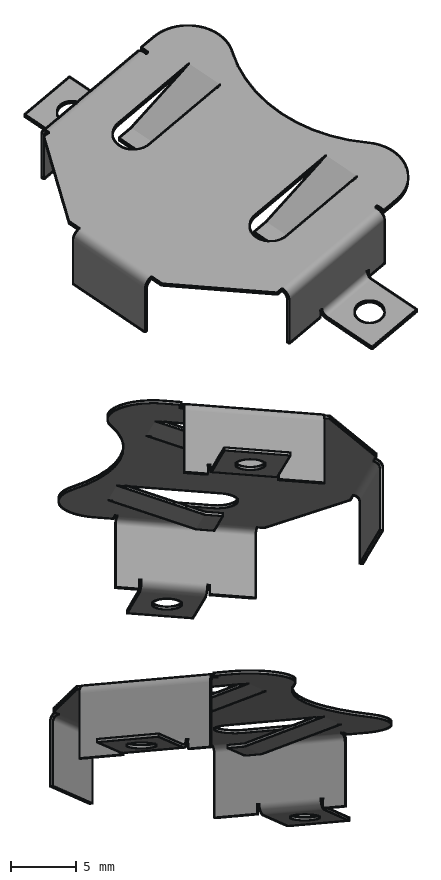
import cadquery as cq
import math

THICKNESS = 0.25
INNER_RADIUS = 0.5
OUTER_RADIUS = INNER_RADIUS + THICKNESS
RELIEF_WIDTH = 0.2
DIAGONAL = math.sqrt(0.5)

LENGTH_X = 35.6
LENGTH_Y = 22.59
HEIGHT = 5.8
PLATE_BOTTOM = HEIGHT - THICKNESS

WALL_OUTER_X = 12.7
WALL_BACK_Y = 4.6
WALL_LENGTH = 10.95
WALL_BEND_X = WALL_OUTER_X - OUTER_RADIUS

TAB_WIDTH = 5.15
TAB_HOLE_DIAMETER = 2.3
TAB_HOLE_X = 15.25

LOBE_RADIUS = 3.5
LOBE_OUTER_X = 12.45
LOBE_X = LOBE_OUTER_X - LOBE_RADIUS
LOBE_TOP_Y = 9.75
LOBE_Y = LOBE_TOP_Y - LOBE_RADIUS
CUTOUT_RADIUS = 12.1
LOBE_RELIEF_END_X = WALL_BEND_X - RELIEF_WIDTH

FLANGE_WIDTH = 7.4
FLANGE_OUTER_Y = LOBE_TOP_Y - LENGTH_Y
PLATE_FRONT_Y = FLANGE_OUTER_Y + OUTER_RADIUS
FRONT_EDGE_HALF = 4.75
CORNER_SIDE_Y = -6.9

SLOT_X = 7.02
SLOT_WIDTH = 3.2
SLOT_BACK_Y = 6.0
SLOT_FRONT_Y = -3.75
TONGUE_SLOPE = math.tan(math.radians(15))
TONGUE_FOOT = 1.4
LEFT_TONGUE_RUN = 6.65
RIGHT_TONGUE_RUN = 6.87


def both_sides(body):
    """Join a body with its mirror image across the symmetry plane."""
    return body.union(body.mirror("YZ"))


def make_plate():
    """Flat top plate with rear lobes, finger cutout and slanted front corners."""
    cutout_y = LOBE_Y + math.sqrt((CUTOUT_RADIUS + LOBE_RADIUS) ** 2 - LOBE_X ** 2)
    share = LOBE_RADIUS / (LOBE_RADIUS + CUTOUT_RADIUS)
    tangent_x = LOBE_X * (1 - share)
    tangent_y = LOBE_Y + (cutout_y - LOBE_Y) * share
    outline = (
        cq.Workplane("XY", origin=(0, 0, PLATE_BOTTOM))
        .moveTo(-FRONT_EDGE_HALF, PLATE_FRONT_Y)
        .lineTo(FRONT_EDGE_HALF, PLATE_FRONT_Y)
        .lineTo(WALL_BEND_X, CORNER_SIDE_Y)
        .lineTo(WALL_BEND_X, WALL_BACK_Y)
        .lineTo(LOBE_RELIEF_END_X, WALL_BACK_Y)
        .lineTo(LOBE_RELIEF_END_X, WALL_BACK_Y + RELIEF_WIDTH)
        .lineTo(LOBE_OUTER_X, WALL_BACK_Y + RELIEF_WIDTH)
        .lineTo(LOBE_OUTER_X, LOBE_Y)
        .threePointArc((LOBE_X, LOBE_TOP_Y), (tangent_x, tangent_y))
        .threePointArc((0, cutout_y - CUTOUT_RADIUS), (-tangent_x, tangent_y))
        .threePointArc((-LOBE_X, LOBE_TOP_Y), (-LOBE_OUTER_X, LOBE_Y))
        .lineTo(-LOBE_OUTER_X, WALL_BACK_Y + RELIEF_WIDTH)
        .lineTo(-LOBE_RELIEF_END_X, WALL_BACK_Y + RELIEF_WIDTH)
        .lineTo(-LOBE_RELIEF_END_X, WALL_BACK_Y)
        .lineTo(-WALL_BEND_X, WALL_BACK_Y)
        .lineTo(-WALL_BEND_X, CORNER_SIDE_Y)
        .close()
    )
    return outline.extrude(THICKNESS)


def cut_slot(plate, center_x):
    """Slot around one tongue: square at the back, fully rounded at the front."""
    half = SLOT_WIDTH / 2
    slot = (
        cq.Workplane("XY", origin=(center_x, 0, PLATE_BOTTOM))
        .moveTo(-half, SLOT_BACK_Y)
        .lineTo(-half, SLOT_FRONT_Y + half)
        .threePointArc((0, SLOT_FRONT_Y), (half, SLOT_FRONT_Y + half))
        .lineTo(half, SLOT_BACK_Y)
        .close()
        .extrude(THICKNESS)
    )
    return plate.cut(slot)


def make_tongue(center_x, run):
    """Tongue sloping down from the back of its slot to a level foot."""
    bend_y = SLOT_BACK_Y - run
    foot_y = bend_y - TONGUE_FOOT
    drop = run * TONGUE_SLOPE
    return (
        cq.Workplane("YZ", origin=(center_x, 0, 0))
        .moveTo(SLOT_BACK_Y, HEIGHT)
        .lineTo(bend_y, HEIGHT - drop)
        .lineTo(foot_y, HEIGHT - drop)
        .lineTo(foot_y, PLATE_BOTTOM - drop)
        .lineTo(bend_y, PLATE_BOTTOM - drop)
        .lineTo(SLOT_BACK_Y, PLATE_BOTTOM)
        .close()
        .extrude(SLOT_WIDTH / 2, both=True)
    )


def bent_down_profile(plane, outer, direction):
    """Section of a sheet leaving the plate edge, bending down and reaching the base.

    outer is the position of the outer face; direction is +1 or -1, the way it faces.
    """
    inner = outer - direction * THICKNESS
    bend_start = outer - direction * OUTER_RADIUS
    bend_z = HEIGHT - OUTER_RADIUS
    outer_mid = (bend_start + direction * OUTER_RADIUS * DIAGONAL, bend_z + OUTER_RADIUS * DIAGONAL)
    inner_mid = (bend_start + direction * INNER_RADIUS * DIAGONAL, bend_z + INNER_RADIUS * DIAGONAL)
    return (
        plane.moveTo(bend_start, HEIGHT)
        .threePointArc(outer_mid, (outer, bend_z))
        .lineTo(outer, 0)
        .lineTo(inner, 0)
        .lineTo(inner, bend_z)
        .threePointArc(inner_mid, (bend_start, PLATE_BOTTOM))
        .close()
    )


def make_wall():
    """Right side wall with an opening in its lower edge for the solder tab."""
    plane = cq.Workplane("XZ", origin=(0, WALL_BACK_Y, 0))
    wall = bent_down_profile(plane, WALL_OUTER_X, 1).extrude(WALL_LENGTH)
    opening = cq.Workplane("XY").box(
        2 * WALL_OUTER_X, TAB_WIDTH + 2 * RELIEF_WIDTH, OUTER_RADIUS, centered=(True, True, False)
    )
    return wall.cut(opening)


def make_tab():
    """Right solder tab, bent outward from the wall and drilled."""
    end_x = LENGTH_X / 2
    wall_inner_x = WALL_OUTER_X - THICKNESS
    bend_x = WALL_OUTER_X + INNER_RADIUS
    outer_mid = (bend_x - OUTER_RADIUS * DIAGONAL, OUTER_RADIUS * (1 - DIAGONAL))
    inner_mid = (bend_x - INNER_RADIUS * DIAGONAL, OUTER_RADIUS - INNER_RADIUS * DIAGONAL)
    tab = (
        cq.Workplane("XZ")
        .moveTo(wall_inner_x, OUTER_RADIUS)
        .threePointArc(outer_mid, (bend_x, 0))
        .lineTo(end_x, 0)
        .lineTo(end_x, THICKNESS)
        .lineTo(bend_x, THICKNESS)
        .threePointArc(inner_mid, (WALL_OUTER_X, OUTER_RADIUS))
        .close()
        .extrude(TAB_WIDTH / 2, both=True)
    )
    hole = cq.Workplane("XY").center(TAB_HOLE_X, 0).circle(TAB_HOLE_DIAMETER / 2).extrude(THICKNESS)
    return tab.cut(hole)


def make_flange():
    """Front flange, bent down from the front edge of the plate."""
    profile = bent_down_profile(cq.Workplane("YZ"), FLANGE_OUTER_Y, -1)
    return profile.extrude(FLANGE_WIDTH / 2, both=True)


holder = make_plate()
for tongue_x, tongue_run in ((-SLOT_X, LEFT_TONGUE_RUN), (SLOT_X, RIGHT_TONGUE_RUN)):
    holder = cut_slot(holder, tongue_x)
    holder = holder.union(make_tongue(tongue_x, tongue_run))
holder = holder.union(both_sides(make_wall().union(make_tab())))
result = holder.union(make_flange())